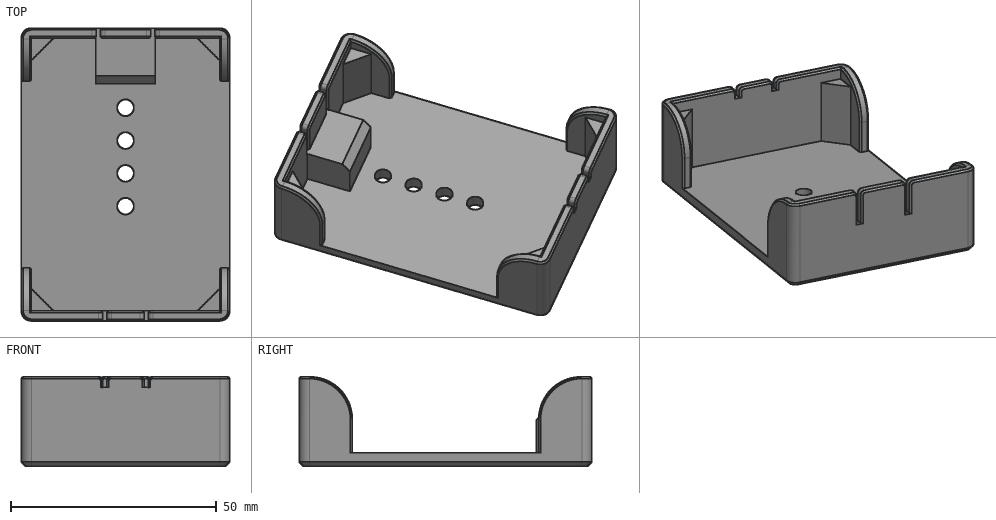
import cadquery as cq

width = 50.8
length = 71.3
height = 21.8

wall = 2.5
floor_top = 3.35
corner_radius = wall
base_chamfer = 1.1
rim_chamfer = 0.46

ear_length = 13.0
ear_flat = wall + 0.1
ear_radius = ear_length - ear_flat

slot_width = 1.0
slot_mouth_radius = 1.1
back_slot_offset = 6.6
front_slot_offset = 5.05
front_slot_depth = 2.6

block_width = 14.55
block_reach = 13.55
block_top = 13.25
block_chamfer = 2.0

post_leg = 5.35
post_drop = 3.0

hole_diameter = 4.0
hole_pitch = 8.0
hole_count = 4
hole_row_y = 4.3

outer_x = width / 2
outer_y = length / 2
inner_x = outer_x - wall
inner_y = outer_y - wall
front_slot_bottom = height - front_slot_depth
post_top = height - post_drop

tolerance = 0.01


def make_shell():
    """Open tray with four walls and rounded outer corners."""
    outer = cq.Workplane("XY").box(width, length, height, centered=(True, True, False))
    outer = outer.edges("|Z").fillet(corner_radius)
    cavity = cq.Workplane("XY").workplane(offset=floor_top).rect(2 * inner_x, 2 * inner_y)
    return outer.cut(cavity.extrude(height - floor_top))


def make_side_opening():
    """Cutter that opens the middle of both side walls and rounds the ears."""
    ear_end = outer_y - ear_length
    arc_start = outer_y - ear_flat
    return (
        cq.Workplane("YZ")
        .moveTo(-ear_end, floor_top)
        .lineTo(ear_end, floor_top)
        .lineTo(ear_end, height - ear_radius)
        .radiusArc((arc_start, height), ear_radius)
        .lineTo(-arc_start, height)
        .radiusArc((-ear_end, height - ear_radius), ear_radius)
        .close()
        .extrude(outer_x, both=True)
    )


def make_slot_pair(wall_back_y, offset, bottom):
    """Cutter for two slots with rounded mouths through the end wall whose +Y face is given."""
    half = slot_width / 2
    mouth_half = half + slot_mouth_radius
    mouth_bottom = height - slot_mouth_radius
    slot = (
        cq.Workplane("XZ", origin=(offset, wall_back_y, 0))
        .moveTo(-half, bottom)
        .lineTo(half, bottom)
        .lineTo(half, mouth_bottom)
        .radiusArc((mouth_half, height), slot_mouth_radius)
        .lineTo(-mouth_half, height)
        .radiusArc((-half, mouth_bottom), slot_mouth_radius)
        .close()
        .extrude(wall)
    )
    return slot.union(slot.mirror("YZ"))


def near(a, b):
    """True where two coordinates coincide."""
    return abs(a - b) < tolerance


def is_rim_edge(edge):
    """True for an edge bordering a wall face along the rim, an ear or a slot side."""
    center = edge.Center()
    x, y = abs(center.x), abs(center.y)
    bounds = edge.BoundingBox()
    on_side_face = near(x, outer_x) or near(x, inner_x)
    on_end_face = near(y, outer_y) or near(y, inner_y)

    if near(bounds.zmin, bounds.zmax):
        on_rim = near(bounds.zmax, height)
        is_corner_arc = edge.geomType() == "CIRCLE"
        runs_along_side = on_side_face and bounds.ylen > tolerance
        runs_along_end = on_end_face and bounds.xlen > tolerance
        return on_rim and (is_corner_arc or runs_along_side or runs_along_end)

    above_floor = bounds.zmin > floor_top - tolerance
    on_ear = on_side_face and y < inner_y - tolerance
    on_slot = on_end_face and x < inner_x - corner_radius
    return above_floor and (on_ear or on_slot)


def chamfer_rim(walls):
    """Break both edges of the rim, following the ears and the slots."""
    rim_edges = [edge for edge in walls.edges().vals() if is_rim_edge(edge)]
    return walls.newObject(rim_edges).chamfer(rim_chamfer)


def make_block():
    """Block against the back wall with its front top edge chamfered."""
    depth = block_reach - wall
    block = cq.Workplane("XY").box(
        block_width, depth, block_top - floor_top, centered=(True, False, False)
    )
    block = block.edges("<Y and >Z").chamfer(block_chamfer)
    return block.translate((0, inner_y - depth, floor_top))


def make_corner_post(side, end):
    """Triangular post in one inner corner; side and end are the signs of X and Y."""
    x = side * inner_x
    y = end * inner_y
    outline = [(x, y), (x - side * post_leg, y), (x, y - end * post_leg)]
    base = cq.Workplane("XY").workplane(offset=floor_top)
    return base.polyline(outline).close().extrude(post_top - floor_top)


def make_holes():
    """Cutter for the row of floor holes."""
    row = cq.Workplane("XY").center(0, hole_row_y).rarray(0.7, hole_pitch, 1, hole_count)
    return row.circle(hole_diameter / 2).extrude(floor_top)


body = make_shell().cut(make_side_opening())
body = body.cut(make_slot_pair(outer_y, back_slot_offset, block_top))
body = body.cut(make_slot_pair(-inner_y, front_slot_offset, front_slot_bottom))
body = chamfer_rim(body)
body = body.faces("<Z").chamfer(base_chamfer)

body = body.union(make_block())
for side in (-1, 1):
    for end in (-1, 1):
        body = body.union(make_corner_post(side, end))

result = body.cut(make_holes())